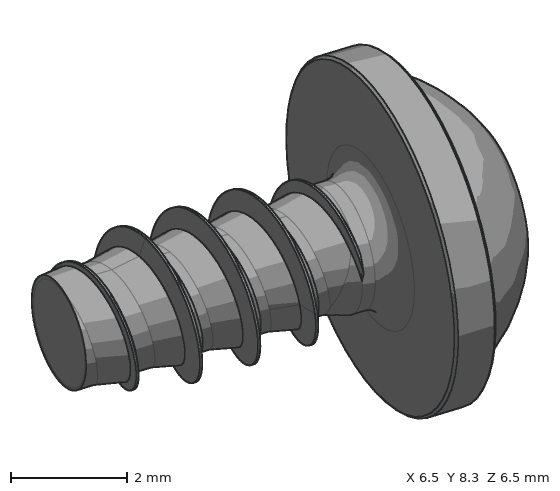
import math

import cadquery as cq


flange_radius = 3.25
flange_thickness = 0.8
flange_chamfer = 0.05
flange_crown = 0.03
head_height = 2.3
dome_base_radius = 2.83
dome_top_radius = 1.48
dome_bulge = 0.16

shank_length = 6.0
neck_radius = 1.17
neck_fillet = 0.5
neck_length = 0.75
neck_cone_length = 0.5
root_radius = 1.03
tip_recess_radius = 0.98
tip_recess_depth = 0.05

pitch = 1.12
crest_height = 0.465
crest_half_width = 0.025
head_knee_offset = 0.15
head_foot_offset = 0.26
tip_knee_offset = 0.14
tip_foot_offset = 0.67
head_knee_height = 0.13
tip_knee_height = 0.11
tip_knee_share = 0.45
embed_depth = 0.02
embed_radius = 0.99

run_out_turns = 1.5
full_turns = 2.25
run_in_turns = 1.5
buried_turns = 0.02
run_in_drop = 0.23
spans_per_turn = 24

end_turn = run_in_turns + full_turns + run_out_turns
head_flank_lean = (head_knee_offset - crest_half_width) / (crest_height - head_knee_height)
tip_flank_lean = (tip_knee_offset - crest_half_width) / (crest_height - tip_knee_height)


def crest_height_at(turn):
    """Crest height along the thread, counted in turns from the head end."""
    run_in_left = max(run_in_turns - turn, 0)
    run_out_done = max(turn - run_in_turns - full_turns, 0)
    return crest_height - run_in_drop * run_in_left - crest_height * run_out_done / run_out_turns


def thread_section(turn):
    """Cross-section corners (axial offset towards the tip, radius)."""
    height = crest_height_at(turn)
    head_knee = max(head_knee_height + height - crest_height, -embed_depth / 2)
    head_knee_place = crest_half_width + (height - head_knee) * head_flank_lean
    tip_knee = min(tip_knee_height, tip_knee_share * height)
    tip_knee_place = crest_half_width + (height - tip_knee) * tip_flank_lean
    head_run = embed_depth * (head_foot_offset - head_knee_offset) / head_knee_height
    tip_run = embed_depth * (tip_foot_offset - tip_knee_offset) / tip_knee_height
    head_foot = -head_foot_offset - head_run
    tip_foot = tip_foot_offset + tip_run
    return [
        (head_foot, embed_radius),
        (head_foot, root_radius - embed_depth),
        (-head_knee_place, root_radius + head_knee),
        (-crest_half_width, root_radius + height),
        (crest_half_width, root_radius + height),
        (tip_knee_place, root_radius + tip_knee),
        (tip_foot, root_radius - embed_depth),
        (tip_foot, embed_radius),
    ]


def on_thread(turn, offset, radius):
    """Point of the helix; it ends at -Z on the tip and passes +X, +Z, -X, -Z towards the tip."""
    angle = 2 * math.pi * (turn - end_turn) - math.pi / 2
    axial = -shank_length + pitch * (end_turn - turn) - offset
    return cq.Vector(radius * math.cos(angle), axial, radius * math.sin(angle))


def make_thread_stage(first_turn, last_turn):
    """Solid of one stretch of thread, bounded by ruled faces between the corner tracks."""
    span_count = round((last_turn - first_turn) * spans_per_turn)
    step = (last_turn - first_turn) / span_count
    turns = [first_turn + step * i for i in range(span_count + 1)]
    sections = [[on_thread(turn, *corner) for corner in thread_section(turn)] for turn in turns]
    tracks = [cq.Edge.makeSpline(list(points)) for points in zip(*sections)]
    faces = [cq.Face.makeRuledSurface(tracks[i - 1], tracks[i]) for i in range(len(tracks))]
    for section in (sections[0], sections[-1]):
        faces.append(cq.Face.makeFromWires(cq.Wire.makePolygon(section, close=True)))
    return cq.Workplane(cq.Solid.makeSolid(cq.Shell.makeShell(faces)))


def add_thread(body):
    """Join the run-in, full and run-out stretches, cut off square at the neck and the tip."""
    threaded_zone = (
        cq.Workplane("XZ", origin=(0, -neck_length, 0))
        .circle(flange_radius)
        .extrude(shank_length - neck_length)
    )
    stage_ends = [0, run_in_turns, run_in_turns + full_turns, end_turn + buried_turns]
    for first_turn, last_turn in zip(stage_ends, stage_ends[1:]):
        stage = make_thread_stage(first_turn, last_turn)
        body = body.union(threaded_zone.intersect(stage))
    return body


def make_body():
    """Head, neck and core revolved from one half-section drawn in (Z, Y)."""
    dome_base = (dome_base_radius, flange_thickness + flange_crown)
    dome_top = (dome_top_radius, head_height)
    run = dome_base[0] - dome_top[0]
    rise = dome_top[1] - dome_base[1]
    chord = math.hypot(run, rise)
    dome_middle = (
        (dome_base[0] + dome_top[0]) / 2 + dome_bulge * rise / chord,
        (dome_base[1] + dome_top[1]) / 2 + dome_bulge * run / chord,
    )
    fillet_shift = neck_fillet * (1 - math.sqrt(0.5))
    half_section = (
        cq.Workplane(cq.Plane(origin=(0, 0, 0), xDir=(0, 0, 1), normal=(-1, 0, 0)))
        .moveTo(0, head_height)
        .lineTo(*dome_top)
        .threePointArc(dome_middle, dome_base)
        .lineTo(flange_radius - flange_chamfer, flange_thickness)
        .lineTo(flange_radius, flange_thickness - flange_chamfer)
        .lineTo(flange_radius, flange_chamfer)
        .lineTo(flange_radius - flange_chamfer, 0)
        .lineTo(neck_radius + neck_fillet, 0)
        .threePointArc(
            (neck_radius + fillet_shift, -fillet_shift),
            (neck_radius, -neck_fillet),
        )
        .lineTo(neck_radius, -neck_length)
        .lineTo(root_radius, -neck_length - neck_cone_length)
        .lineTo(root_radius, -shank_length)
        .lineTo(tip_recess_radius, -shank_length)
        .lineTo(0, -shank_length + tip_recess_depth)
        .close()
    )
    return half_section.revolve(360, (0, 0, 0), (0, 1, 0))


result = add_thread(make_body())